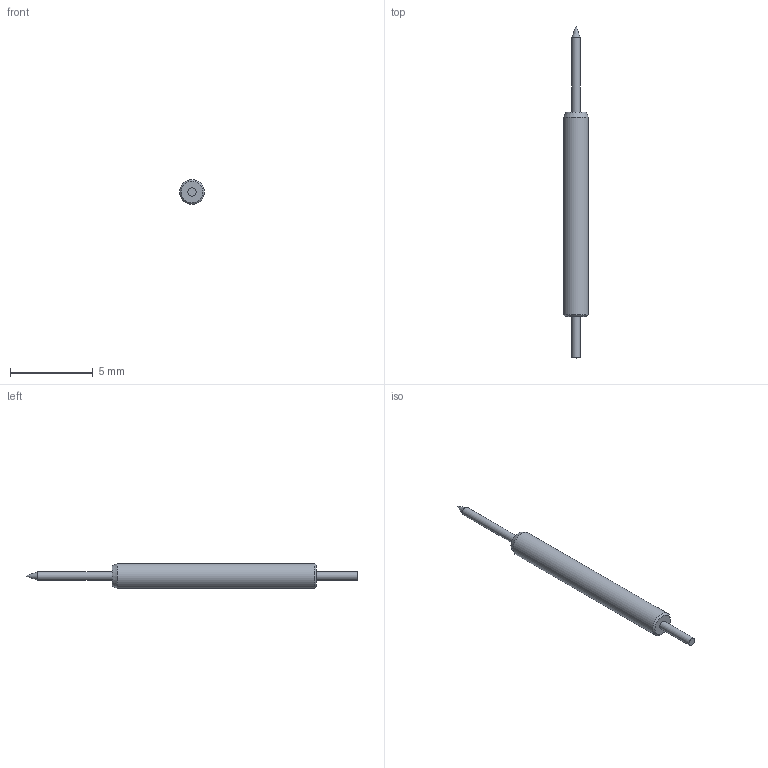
import cadquery as cq
import math

total_length = 20.0
tail_length = 2.5
body_length = 12.3

body_diameter = 1.5
pin_diameter = 0.5

tail_end_chamfer = 0.1
tip_end_taper_length = 0.3
tip_end_taper_depth = 0.135
tip_half_angle = 20.0
tip_cone_length = pin_diameter / 2 / math.tan(math.radians(tip_half_angle))

tail_end_y = -total_length / 2
body_start_y = tail_end_y + tail_length
body_end_y = body_start_y + body_length
tip_y = total_length / 2
cone_base_y = tip_y - tip_cone_length


def revolve_about_y(half_profile):
    """Turn a closed half profile of (radius, y) points about the Y axis."""
    return cq.Workplane("XY").polyline(half_profile).close().revolve(360, (0, 0, 0), (0, 1, 0))


def make_body():
    """Barrel with a small chamfer at the tail end and a longer taper at the tip end."""
    radius = body_diameter / 2
    return revolve_about_y([
        (0, body_start_y),
        (radius - tail_end_chamfer, body_start_y),
        (radius, body_start_y + tail_end_chamfer),
        (radius, body_end_y - tip_end_taper_length),
        (radius - tip_end_taper_depth, body_end_y),
        (0, body_end_y),
    ])


def make_pin():
    """Slender round pin running the full length and ending in a sharp cone."""
    radius = pin_diameter / 2
    return revolve_about_y([
        (0, tail_end_y),
        (radius, tail_end_y),
        (radius, cone_base_y),
        (0, tip_y),
    ])


result = make_body().union(make_pin())